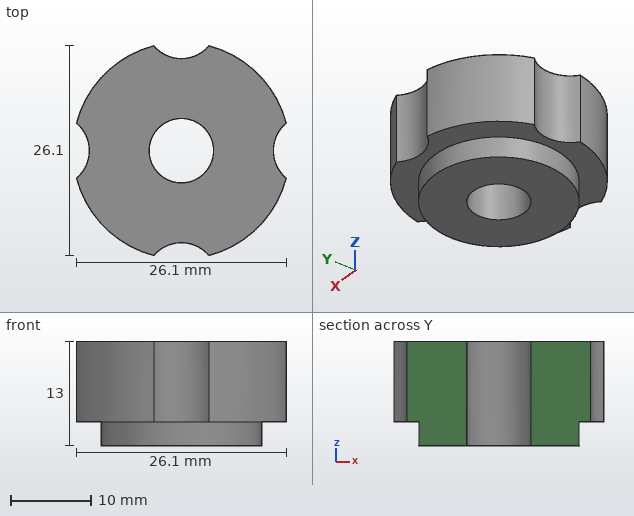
import cadquery as cq
import math

across_notches = 26.12
body_radius = 13.5
body_height = 10.0
boss_diameter = 20.0
boss_height = 3.0
bore_diameter = 8.0
notch_radius = 4.5
notch_count = 4

corner_distance = across_notches / 2
notch_half_width = math.sqrt(body_radius**2 - corner_distance**2)
notch_center_distance = corner_distance + math.sqrt(notch_radius**2 - notch_half_width**2)
total_height = boss_height + body_height


def make_knob():
    """Round body standing on a smaller boss."""
    boss = cq.Workplane("XY").circle(boss_diameter / 2).extrude(boss_height)
    return boss.faces(">Z").workplane().circle(body_radius).extrude(body_height)


def make_notches():
    """Cylinders that scallop the rim of the body."""
    return (
        cq.Workplane("XY")
        .workplane(offset=boss_height)
        .polarArray(notch_center_distance, 0, 360, notch_count)
        .circle(notch_radius)
        .extrude(body_height)
    )


def make_bore():
    """Through hole on the axis."""
    return cq.Workplane("XY").circle(bore_diameter / 2).extrude(total_height)


result = make_knob().cut(make_notches()).cut(make_bore())